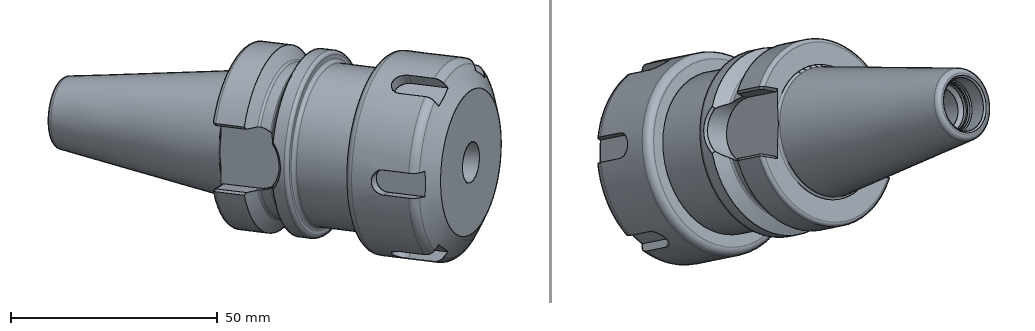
import cadquery as cq
import math


TOTAL_LENGTH = 108.4
FLANGE_START = 49.3
FLANGE_LAND_END = 57.9
REAR_LAND_START = 65.9
FLANGE_END = 70.1
NUT_START = 86.0
NECK_END = 103.1

FLANGE_DIAMETER = 46.0
GROOVE_DIAMETER = 38.4
GROOVE_FLANK_ANGLE = 30.0
NECK_DIAMETER = 40.0
TAPER_BASE_DIAMETER = 32.0
TAPER_RATIO = 7 / 24
TIP_DIAMETER = TAPER_BASE_DIAMETER - TAPER_RATIO * FLANGE_START

TIP_ROUNDING = 1.4
TAPER_ROOT_ROUNDING = 0.7
FLANGE_ROUNDING = 1.0
GROOVE_ROUNDING = 0.8
NUT_REAR_ROUNDING = 2.0
NUT_FRONT_ROUNDING = 2.6

BORE_DIAMETER = 10.1
MOUTH_DIAMETER = 14.1
ENTRY_DIAMETER = 13.1
ENTRY_DEPTH = 4.5
PILOT_DIAMETER = 12.5
PILOT_DEPTH = 5.7
CONE_DIAMETER = 12.0
CONE_START = 6.9

KEY_WIDTH = 15.9
KEY_FLOOR = 16.0
KEY_END = 67.5
KEY_CHAMFER = 0.7

NUT_DIAMETER = 50.0
NUT_FACE_DIAMETER = 36.2
NUT_CONE_ANGLE = 30.0
WRENCH_SLOT_COUNT = 6
WRENCH_SLOT_WIDTH = 6.3
WRENCH_SLOT_START = 93.1
WRENCH_SLOT_FLOOR = 22.0

SAME = 0.01


def revolve(points):
    """Turn an (x, radius) outline about the X axis."""
    return cq.Workplane("XY").polyline(points).close().revolve(360, (0, 0, 0), (1, 0, 0))


def round_ring(body, x, diameter, rounding):
    """Fillet the circular edge of the given diameter at station x."""
    def is_ring(edge):
        return (
            edge.geomType() == "CIRCLE"
            and abs(edge.Center().x - x) < SAME
            and abs(edge.radius() - diameter / 2) < SAME
        )

    return body.newObject(body.edges().filter(is_ring).vals()).fillet(rounding)


def rounded_slot(start, end, width, floor, round_start):
    """Block for a slot on the -Y side, with one end fully round in the XZ plane."""
    half = width / 2
    round_x, square_x = (start, end) if round_start else (end, start)
    centre_x = round_x + half if round_start else round_x - half
    return (
        cq.Workplane("XZ", origin=(0, -floor, 0))
        .moveTo(square_x, -half)
        .lineTo(centre_x, -half)
        .threePointArc((round_x, 0), (centre_x, half))
        .lineTo(square_x, half)
        .close()
        .extrude(NUT_DIAMETER)
    )


def turn(body, angle):
    """Rotate a body about the X axis by an angle in degrees."""
    return body.rotate((0, 0, 0), (1, 0, 0), angle)


def make_shank():
    """Taper, grooved flange and neck as one turned shape."""
    groove_run = (FLANGE_DIAMETER - GROOVE_DIAMETER) / 2 * math.tan(math.radians(GROOVE_FLANK_ANGLE))
    groove_start = FLANGE_LAND_END + groove_run
    groove_end = REAR_LAND_START - groove_run
    shank = revolve([
        (0, 0),
        (0, TIP_DIAMETER / 2),
        (FLANGE_START, TAPER_BASE_DIAMETER / 2),
        (FLANGE_START, FLANGE_DIAMETER / 2),
        (FLANGE_LAND_END, FLANGE_DIAMETER / 2),
        (groove_start, GROOVE_DIAMETER / 2),
        (groove_end, GROOVE_DIAMETER / 2),
        (REAR_LAND_START, FLANGE_DIAMETER / 2),
        (FLANGE_END, FLANGE_DIAMETER / 2),
        (FLANGE_END, NECK_DIAMETER / 2),
        (NECK_END, NECK_DIAMETER / 2),
        (NECK_END, 0),
    ])
    roundings = [
        (0, TIP_DIAMETER, TIP_ROUNDING),
        (FLANGE_START, TAPER_BASE_DIAMETER, TAPER_ROOT_ROUNDING),
        (FLANGE_START, FLANGE_DIAMETER, FLANGE_ROUNDING),
        (groove_start, GROOVE_DIAMETER, GROOVE_ROUNDING),
        (groove_end, GROOVE_DIAMETER, GROOVE_ROUNDING),
        (FLANGE_END, FLANGE_DIAMETER, FLANGE_ROUNDING),
        (FLANGE_END, NECK_DIAMETER, FLANGE_ROUNDING),
    ]
    for x, diameter, rounding in roundings:
        shank = round_ring(shank, x, diameter, rounding)
    return shank


def make_bore():
    """Through hole behind a countersunk entry, narrowing in two steps to a conical bottom."""
    mouth_depth = (MOUTH_DIAMETER - ENTRY_DIAMETER) / 2
    entry_cone = (ENTRY_DIAMETER - PILOT_DIAMETER) / 2
    pilot_cone = (PILOT_DIAMETER - CONE_DIAMETER) / 2
    bottom_cone = (CONE_DIAMETER - BORE_DIAMETER) / 2
    return revolve([
        (0, 0),
        (0, MOUTH_DIAMETER / 2),
        (mouth_depth, ENTRY_DIAMETER / 2),
        (ENTRY_DEPTH, ENTRY_DIAMETER / 2),
        (ENTRY_DEPTH + entry_cone, PILOT_DIAMETER / 2),
        (PILOT_DEPTH, PILOT_DIAMETER / 2),
        (PILOT_DEPTH + pilot_cone, CONE_DIAMETER / 2),
        (CONE_START, CONE_DIAMETER / 2),
        (CONE_START + bottom_cone, BORE_DIAMETER / 2),
        (TOTAL_LENGTH, BORE_DIAMETER / 2),
        (TOTAL_LENGTH, 0),
    ])


def is_key_rim(edge):
    """Edge of a driving slot on a flange land or on the flange front face."""
    middle = edge.positionAt(0.5)
    radius = math.hypot(middle.y, middle.z)
    inside_slot = abs(middle.z) < KEY_WIDTH / 2 + SAME and abs(middle.y) > KEY_FLOOR + SAME
    on_land = abs(radius - FLANGE_DIAMETER / 2) < SAME and middle.x < KEY_END + SAME
    on_front = abs(middle.x - FLANGE_START) < SAME and edge.geomType() == "LINE"
    return inside_slot and (on_land or on_front)


def make_housing():
    """Bored shank with two opposite driving slots whose rims are chamfered."""
    housing = make_shank().cut(make_bore())
    key_slot = rounded_slot(0, KEY_END, KEY_WIDTH, KEY_FLOOR, round_start=False)
    for angle in (0, 180):
        housing = housing.cut(turn(key_slot, angle))
    rims = housing.edges().filter(is_key_rim).vals()
    return housing.newObject(rims).chamfer(KEY_CHAMFER)


def make_nut():
    """Coned ring with wrench slots around its rim, closed over the neck of the housing."""
    cone_angle = math.radians(NUT_CONE_ANGLE)
    cone_start = TOTAL_LENGTH - (NUT_DIAMETER - NUT_FACE_DIAMETER) / 2 * math.tan(cone_angle)
    nut = revolve([
        (NUT_START, 0),
        (NUT_START, NUT_DIAMETER / 2),
        (cone_start, NUT_DIAMETER / 2),
        (TOTAL_LENGTH, NUT_FACE_DIAMETER / 2),
        (TOTAL_LENGTH, 0),
    ])
    nut = round_ring(nut, NUT_START, NUT_DIAMETER, NUT_REAR_ROUNDING)
    nut = round_ring(nut, cone_start, NUT_DIAMETER, NUT_FRONT_ROUNDING)

    neck = cq.Workplane("YZ").circle(NECK_DIAMETER / 2).extrude(NECK_END)
    hole = cq.Workplane("YZ").circle(BORE_DIAMETER / 2).extrude(TOTAL_LENGTH)
    nut = nut.cut(neck).cut(hole)

    wrench_slot = rounded_slot(
        WRENCH_SLOT_START, TOTAL_LENGTH, WRENCH_SLOT_WIDTH, WRENCH_SLOT_FLOOR, round_start=True
    )
    for index in range(WRENCH_SLOT_COUNT):
        nut = nut.cut(turn(wrench_slot, index * 360 / WRENCH_SLOT_COUNT))
    return nut


housing = make_housing()
nut = make_nut()

result = cq.Compound.makeCompound([housing.val(), nut.val()])